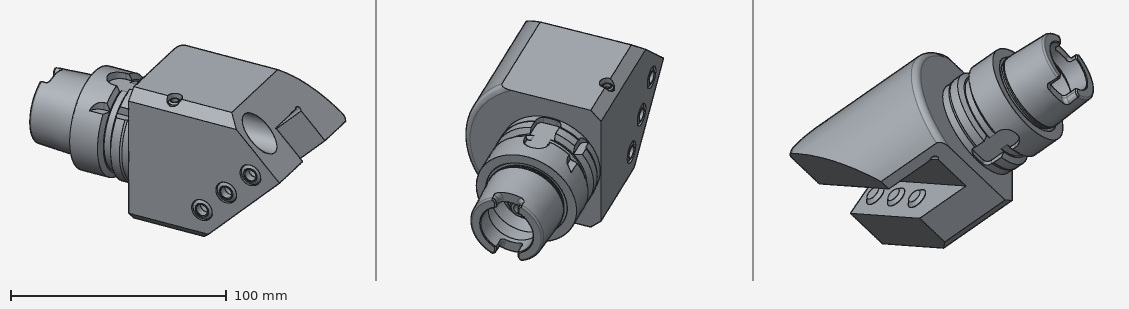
import cadquery as cq
import math

total_length = 135.0

overlap = 1.4

shank_length = 25.0
tip_radius = 18.1
tip_fillet = 1.0
taper_end_x = 22.8
taper_end_radius = 19.3
relief_x = 23.6
relief_radius = 19.0
undercut_x = 24.5
undercut_radius = 18.5
face_recess_radius = 20.2
face_recess_depth = 0.7

flange_radius = 25.0
groove_radius = 21.5
groove_wall_height = 0.8
groove_start = 39.5
groove_floor_start = 41.2
groove_floor_end = 44.8
groove_end = 46.5
band_end_x = 51.0
neck_x = 52.1
neck_radius = 24.6
key_width = 12.2
key_start_x = 32.0
key_end_x = 55.2
key_end_fillet = 2.7
key_floor_z = 21.0
side_notch_y = -15.5
side_notch_z = 15.7

bore_radius = 26.0 / 2
bore_entry_chamfer = 0.4
bore_lip_x = 10.0
clamp_radius = 32.0 / 2
clamp_slope = math.radians(60)
clamp_end_x = 20.2
bore_floor_radius = 11.9
collar_radius = 16.0 / 2
collar_height = 4.0
collar_chamfer = 0.7
tube_radius = 10.0 / 2
tube_height = 8.1
tube_chamfer = 0.8
tube_hole_radius = 5.8 / 2

notch_width = 10.8
notch_depth_top = 4.6
notch_depth_bottom = 7.5
notch_mouth_z = 14.0
notch_mouth_radius = 2.7
notch_floor_fillet = 1.8
notch_entry_chamfer = 0.7

block_x = 55.9
block_radius = 43.3
block_end_fillet = 3.1
block_half_height = 35.03
block_front_y = -25.0
block_chamfer = 5.1
nose_z = 7.3

slot_depth = 20.0
slot_near_y = -2.0
slot_far_y = 20.0
corner_relief_radius = 1.6
corner_relief_inset = 1.0

screw_radius = 10.5 / 2
screw_chamfer = 1.8
screw_outer_chamfer_height = 1.1
screw_entry_radius = 5.4
screw_entry_depth = 2.0
screw_outer_y = block_front_y
screw_inner_y = slot_near_y + 1.9
screw_edge_distance = 11.0
first_screw_distance = 10.7
screw_pitch = 18.0
screw_count = 3
screw_socket_radius = 5.8 / 2
screw_socket_depth = 4.0

pocket_radius = 16.0 / 2
pocket_y = -13.6
pocket_setback = 16.5
pocket_depth = 16.2

plug_x = 77.2
plug_y = -19.6
plug_hole_radius = 7.0 / 2
plug_hole_depth = 8.1
plug_radius = 6.0 / 2
plug_chamfer = 0.8
plug_top_drop = 1.8
plug_socket_radius = 3.5 / 2
plug_socket_depth = 2.0

drill_slope = math.tan(math.radians(30))


def turned(points):
    """Revolve an (x, radius) outline about the X axis."""
    return cq.Workplane("XY").polyline(points).close().revolve(360, (0, 0, 0), (1, 0, 0))


def drill_tool(radius, depth):
    """Drill along +Z from the origin, ending in a 120 degree point."""
    outline = [(0, 0), (radius, 0), (radius, depth), (0, depth + radius * drill_slope)]
    return cq.Workplane("XZ").polyline(outline).close().revolve(360, (0, 0, 0), (0, 1, 0))


def shank_and_flange():
    recess_x = shank_length + face_recess_depth
    groove_wall_radius = groove_radius + groove_wall_height
    buried_x = block_x + overlap
    profile = [
        (0, 0),
        (0, tip_radius),
        (taper_end_x, taper_end_radius),
        (relief_x, relief_radius),
        (undercut_x, relief_radius),
        (recess_x, undercut_radius),
        (recess_x, face_recess_radius),
        (shank_length, face_recess_radius),
        (shank_length, flange_radius),
        (groove_start, flange_radius),
        (groove_floor_start, groove_wall_radius),
        (groove_floor_start, groove_radius),
        (groove_floor_end, groove_radius),
        (groove_floor_end, groove_wall_radius),
        (groove_end, flange_radius),
        (band_end_x, flange_radius),
        (neck_x, neck_radius),
        (buried_x, neck_radius),
        (buried_x, 0),
    ]
    return turned(profile).faces("<X").edges().fillet(tip_fillet)


def bore():
    lip_end_x = bore_lip_x + (clamp_radius - bore_radius) / math.tan(clamp_slope)
    floor_x = clamp_end_x + clamp_radius - bore_floor_radius
    collar_x = floor_x - collar_height
    tube_x = floor_x - tube_height
    return turned([
        (0, 0),
        (0, bore_radius + bore_entry_chamfer),
        (bore_entry_chamfer, bore_radius),
        (bore_lip_x, bore_radius),
        (lip_end_x, clamp_radius),
        (clamp_end_x, clamp_radius),
        (floor_x, bore_floor_radius),
        (floor_x, collar_radius),
        (collar_x + collar_chamfer, collar_radius),
        (collar_x, collar_radius - collar_chamfer),
        (collar_x, tube_radius),
        (tube_x + tube_chamfer, tube_radius),
        (tube_x, tube_radius - tube_chamfer),
        (tube_x, tube_hole_radius),
        (tube_x + tube_hole_radius * drill_slope, 0),
    ])


def notch_outline(start_x, widening):
    """Cross-section of a driving notch at +Z, offset outward by the widening."""
    half = notch_width / 2 + widening
    radius = notch_mouth_radius - widening
    flare = half + radius
    arc_offset = radius * math.sqrt(0.5)
    arc_y = flare - arc_offset
    arc_z = notch_mouth_z + arc_offset
    mouth_top = notch_mouth_z + radius
    outer_z = 2 * tip_radius
    return (
        cq.Workplane("YZ", origin=(start_x, 0, 0))
        .moveTo(-half, 0)
        .lineTo(-half, notch_mouth_z)
        .threePointArc((-arc_y, arc_z), (-flare, mouth_top))
        .lineTo(-flare, outer_z)
        .lineTo(flare, outer_z)
        .lineTo(flare, mouth_top)
        .threePointArc((arc_y, arc_z), (half, notch_mouth_z))
        .lineTo(half, 0)
        .close()
    )


def driving_notch(depth):
    """Notch at +Z, open at the tip, with a chamfered entry and rounded floor edges."""
    channel = notch_outline(-overlap, 0).extrude(depth + overlap)
    channel = channel.faces(">X").edges().fillet(notch_floor_fillet)
    entry = notch_outline(0, notch_entry_chamfer).extrude(notch_entry_chamfer, taper=45)
    return channel.union(entry)


def key_slot(center_y, floor_z):
    """Slot cut down to floor_z, with a full round toward the shank."""
    half = key_width / 2
    return (
        cq.Workplane("XY", origin=(0, center_y, floor_z))
        .moveTo(key_start_x + half, -half)
        .lineTo(key_end_x, -half)
        .lineTo(key_end_x, half)
        .lineTo(key_start_x + half, half)
        .threePointArc((key_start_x, 0), (key_start_x + half, -half))
        .close()
        .extrude(flange_radius)
        .edges("|Z and >X")
        .fillet(key_end_fillet)
    )


def tool_block():
    rise = block_half_height - nose_z
    drop = block_half_height + nose_z
    far_y = block_radius + overlap
    prism = (
        cq.Workplane("XZ", origin=(0, far_y, 0))
        .polyline([
            (block_x, -block_half_height),
            (total_length - drop, -block_half_height),
            (total_length, nose_z),
            (total_length - rise, block_half_height),
            (block_x, block_half_height),
        ])
        .close()
        .extrude(far_y - block_front_y)
    )
    side_y = block_front_y + block_chamfer
    side_z = block_half_height - block_chamfer
    section = (
        cq.Workplane("YZ", origin=(block_x, 0, 0))
        .polyline([
            (far_y, -block_half_height),
            (side_y, -block_half_height),
            (block_front_y, -side_z),
            (block_front_y, side_z),
            (side_y, block_half_height),
            (far_y, block_half_height),
        ])
        .close()
        .extrude(total_length - block_x)
    )
    barrel = (
        cq.Workplane("YZ", origin=(block_x, 0, 0))
        .circle(block_radius)
        .extrude(total_length - block_x)
        .edges()
        .fillet(block_end_fillet)
    )
    return prism.intersect(section).intersect(barrel)


def along_lower_slope(shape):
    """Place a shape so local +X runs down the lower slope and local -Z runs into the block."""
    return shape.rotate((0, 0, 0), (0, 1, 0), 135).translate((total_length, 0, nose_z))


def tool_slot():
    reach = total_length
    slot = (
        cq.Workplane("YZ", origin=(-reach, 0, 0))
        .moveTo(slot_near_y, -slot_depth)
        .rect(slot_far_y - slot_near_y, 2 * slot_depth, centered=False)
        .extrude(2 * reach)
    )
    relief = (
        cq.Workplane("YZ", origin=(-reach, 0, 0))
        .center(slot_far_y - corner_relief_inset, corner_relief_inset - slot_depth)
        .circle(corner_relief_radius)
        .extrude(2 * reach)
    )
    return along_lower_slope(slot.union(relief))


def clamping_screw():
    """Screw along +Y on the Y axis, with a chamfer at each end and a blind socket."""
    length = screw_inner_y - screw_outer_y
    end_radius = screw_radius - screw_chamfer
    outline = [
        (0, 0),
        (end_radius, 0),
        (screw_radius, screw_outer_chamfer_height),
        (screw_radius, length - screw_chamfer),
        (end_radius, length),
        (0, length),
    ]
    screw = cq.Workplane("XY").polyline(outline).close().revolve(360, (0, 0, 0), (0, 1, 0))
    socket = drill_tool(screw_socket_radius, screw_socket_depth).rotate((0, 0, 0), (1, 0, 0), -90)
    return screw.cut(socket).translate((0, screw_outer_y, 0))


def screw_hole():
    """Screw hole along +Y on the Y axis, slightly wider at its outer end."""
    start = cq.Workplane("XZ", origin=(0, block_front_y, 0))
    hole = start.circle(screw_radius).extrude(block_front_y - slot_near_y)
    entry = start.circle(screw_entry_radius).extrude(-screw_entry_depth)
    return hole.union(entry)


def at_screw(shape, index):
    """Move a shape from the Y axis onto the axis of one screw."""
    distance = first_screw_distance + index * screw_pitch
    return along_lower_slope(shape.translate((distance, 0, -screw_edge_distance)))


def pocket():
    """Round pocket along X that opens on the upper slope."""
    floor_x = total_length - pocket_setback - pocket_depth
    floor = cq.Workplane("YZ", origin=(floor_x, pocket_y, nose_z + pocket_setback))
    return floor.circle(pocket_radius).extrude(total_length - floor_x)


def coolant_plug():
    """Plug along -Z with a chamfered top and a socket; its top is at the origin."""
    height = plug_hole_depth - plug_top_drop
    plug = cq.Workplane("XY").circle(plug_radius).extrude(-height)
    plug = plug.faces(">Z").edges().chamfer(plug_chamfer)
    socket = drill_tool(plug_socket_radius, plug_socket_depth).rotate((0, 0, 0), (1, 0, 0), 180)
    return plug.cut(socket)


shank = shank_and_flange().cut(bore())
top_notch = driving_notch(notch_depth_top)
bottom_notch = driving_notch(notch_depth_bottom).rotate((0, 0, 0), (1, 0, 0), 180)
key = key_slot(0, key_floor_z)
side_notch = key_slot(side_notch_y - key_width / 2, side_notch_z)
shank = shank.cut(top_notch).cut(bottom_notch)
shank = shank.cut(key).cut(key.mirror("XY")).cut(side_notch)

block = tool_block().cut(tool_slot()).cut(pocket())
for index in range(screw_count):
    block = block.cut(at_screw(screw_hole(), index))
    block = block.union(at_screw(clamping_screw(), index))

plug_hole = cq.Workplane("XY").circle(plug_hole_radius).extrude(-plug_hole_depth)
block = block.cut(plug_hole.translate((plug_x, plug_y, block_half_height)))
block = block.union(coolant_plug().translate((plug_x, plug_y, block_half_height - plug_top_drop)))

result = shank.union(block)